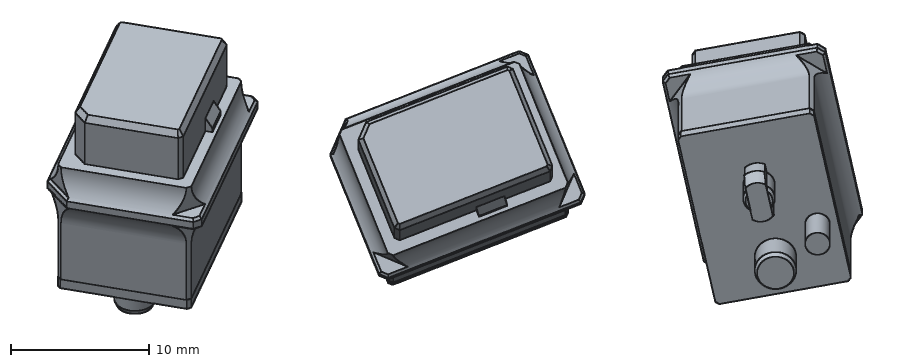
import cadquery as cq
import math

BODY_X = 10.0
BODY_Y = 14.0
PLATE_HEIGHT = 0.8
PLATE_CORNER = 0.25

BODY_CORNER = 0.3
FLANGE_OVERHANG = 1.0
FLANGE_X = BODY_X + 2 * FLANGE_OVERHANG
FLANGE_Y = BODY_Y + 2 * FLANGE_OVERHANG
FLANGE_BOTTOM = 7.8
FLANGE_HEIGHT = 1.0
FLANGE_TOP = FLANGE_BOTTOM + FLANGE_HEIGHT
FLANGE_EDGE = 0.2
FLANGE_CORNER = 0.5
FLANGE_KEY_CORNER = 2.0
FLARE_HEIGHT = 2.0
FLARE_REACH = FLANGE_OVERHANG - FLANGE_EDGE
BODY_TOP = FLANGE_TOP + FLARE_HEIGHT

CAP_X = 8.3
CAP_Y = 12.3
CAP_TOP = 15.0
CAP_CORNER = 0.3
CAP_KEY_CORNER = 1.0
CAP_BEVEL_HEIGHT = 0.52
CAP_BEVEL_INSET = 0.33

CATCH_WIDTH = 2.2
CATCH_Y = 1.2
CATCH_REACH = 0.53
CATCH_SIDE_HEIGHT = 0.35
CATCH_HEIGHT = 1.15

CONTACT_DIAMETER = 1.8
CONTACT_LENGTH = 3.0
CONTACT_X = -3.5
CONTACT_Y = -2.0

POST_LENGTH = 2.5
POST_TIP_HEIGHT = 0.4
POST_TIP_INSET = 0.17
LARGE_POST_DIAMETER = 3.0
LARGE_POST_Y = -4.0
SMALL_POST_DIAMETER = 2.3
CLIP_Y = 2.0

CLIP_THICKNESS = 1.5
CLIP_LOBE_OFFSET = 0.5
CLIP_STEM_RADIUS = 1.3
CLIP_BARB_RADIUS = 1.5
CLIP_TIP_RADIUS = 1.1
CLIP_BARB_DEPTH = 1.6
CLIP_LENGTH = 2.7


def keyed_outline(size_x, size_y, corner, key_corner, z):
    """Rectangle with cut corners; the corner at -X, -Y has its own cut as a key."""
    x = size_x / 2
    y = size_y / 2
    return cq.Workplane("XY").workplane(offset=z).polyline([
        (-x, key_corner - y),
        (key_corner - x, -y),
        (x - corner, -y),
        (x, corner - y),
        (x, y - corner),
        (x - corner, y),
        (corner - x, y),
        (-x, y - corner),
    ]).close()


def flared_bar(plane, width, length):
    """Bar along the plane's normal whose sides flare out to the flange along arcs."""
    radius = (FLARE_HEIGHT**2 + FLARE_REACH**2) / (2 * FLARE_REACH)
    half_angle = math.asin(FLARE_HEIGHT / radius) / 2
    mid_reach = radius * (1 - math.cos(half_angle))
    mid_rise = radius * math.sin(half_angle)
    side = width / 2
    flared = side + FLARE_REACH
    flare_bottom = FLANGE_BOTTOM - FLARE_HEIGHT
    return (
        cq.Workplane(plane)
        .moveTo(0, PLATE_HEIGHT)
        .lineTo(side, PLATE_HEIGHT)
        .lineTo(side, flare_bottom)
        .threePointArc((side + mid_reach, flare_bottom + mid_rise), (flared, FLANGE_BOTTOM))
        .lineTo(flared, FLANGE_TOP)
        .threePointArc((side + mid_reach, BODY_TOP - mid_rise), (side, BODY_TOP))
        .lineTo(0, BODY_TOP)
        .mirrorY()
        .extrude(length / 2, both=True)
    )


def body():
    """Flared body: two crossing bars give mitred flares, and upright cuts trim all corners."""
    bar_along_y = flared_bar("XZ", BODY_X, FLANGE_Y)
    bar_along_x = flared_bar("YZ", BODY_Y, FLANGE_X)
    flange_cut = BODY_CORNER + 2 * FLANGE_OVERHANG
    trim = keyed_outline(FLANGE_X, FLANGE_Y, flange_cut, flange_cut, PLATE_HEIGHT)
    return bar_along_y.intersect(bar_along_x).intersect(trim.extrude(BODY_TOP - PLATE_HEIGHT))


def flange():
    """Thin rim around the body, with bevelled upper and lower edges."""
    outline = keyed_outline(FLANGE_X, FLANGE_Y, FLANGE_CORNER, FLANGE_KEY_CORNER, FLANGE_BOTTOM)
    return outline.extrude(FLANGE_HEIGHT).faces("<Z or >Z").chamfer(FLANGE_EDGE)


def cap():
    """Keyed block on top of the body, with a steep bevel around its upper edge."""
    bevel_bottom = CAP_TOP - CAP_BEVEL_HEIGHT
    bevel_angle = math.degrees(math.atan2(CAP_BEVEL_INSET, CAP_BEVEL_HEIGHT))
    sides = keyed_outline(CAP_X, CAP_Y, CAP_CORNER, CAP_KEY_CORNER, BODY_TOP).extrude(bevel_bottom - BODY_TOP)
    bevel = keyed_outline(CAP_X, CAP_Y, CAP_CORNER, CAP_KEY_CORNER, bevel_bottom)
    return sides.union(bevel.extrude(CAP_BEVEL_HEIGHT, taper=bevel_angle))


def catches():
    """Pair of wedges across the cap, sloping down and outward on both long sides."""
    root = CAP_X / 2
    tip = root + CATCH_REACH
    return (
        cq.Workplane("XZ", origin=(0, CATCH_Y, BODY_TOP))
        .lineTo(tip, 0)
        .lineTo(tip, CATCH_SIDE_HEIGHT)
        .lineTo(root, CATCH_HEIGHT)
        .lineTo(0, CATCH_HEIGHT)
        .mirrorY()
        .extrude(CATCH_WIDTH / 2, both=True)
    )


def make_housing():
    return body().union(flange()).union(cap()).union(catches())


def post(diameter, y):
    """Round post under the plate with a tapered tip."""
    radius = diameter / 2
    return (
        cq.Workplane("XZ", origin=(0, y, 0))
        .lineTo(radius, 0)
        .lineTo(radius, POST_TIP_HEIGHT - POST_LENGTH)
        .lineTo(radius - POST_TIP_INSET, -POST_LENGTH)
        .lineTo(0, -POST_LENGTH)
        .close()
        .revolve(360, (0, 0, 0), (0, 1, 0))
    )


def clip_lobe(y):
    """Round barbed stud; two of them side by side form the rounded ends of the clip."""
    return (
        cq.Workplane("XZ", origin=(0, y, 0))
        .lineTo(CLIP_STEM_RADIUS, 0)
        .lineTo(CLIP_STEM_RADIUS, -CLIP_BARB_DEPTH)
        .lineTo(CLIP_BARB_RADIUS, -CLIP_BARB_DEPTH)
        .lineTo(CLIP_TIP_RADIUS, -CLIP_LENGTH)
        .lineTo(0, -CLIP_LENGTH)
        .close()
        .revolve(360, (0, 0, 0), (0, 1, 0))
    )


def clip():
    """Barbed clip: two overlapping lobes narrowed to one flat tongue along Y."""
    lobes = clip_lobe(CLIP_Y - CLIP_LOBE_OFFSET).union(clip_lobe(CLIP_Y + CLIP_LOBE_OFFSET))
    tongue = (
        cq.Workplane("XY", origin=(0, CLIP_Y, 0))
        .rect(CLIP_THICKNESS, 2 * (CLIP_LOBE_OFFSET + CLIP_BARB_RADIUS))
        .extrude(-CLIP_LENGTH)
    )
    return lobes.intersect(tongue)


def make_base():
    plate = keyed_outline(BODY_X, BODY_Y, PLATE_CORNER, PLATE_CORNER, 0).extrude(PLATE_HEIGHT)
    contact = (
        cq.Workplane("XY", origin=(CONTACT_X, CONTACT_Y, 0))
        .circle(CONTACT_DIAMETER / 2)
        .extrude(-CONTACT_LENGTH)
    )
    return (
        plate
        .union(contact)
        .union(post(LARGE_POST_DIAMETER, LARGE_POST_Y))
        .union(post(SMALL_POST_DIAMETER, CLIP_Y))
        .union(clip())
    )


housing = make_housing()
base = make_base()
result = cq.Compound.makeCompound([housing.val(), base.val()])